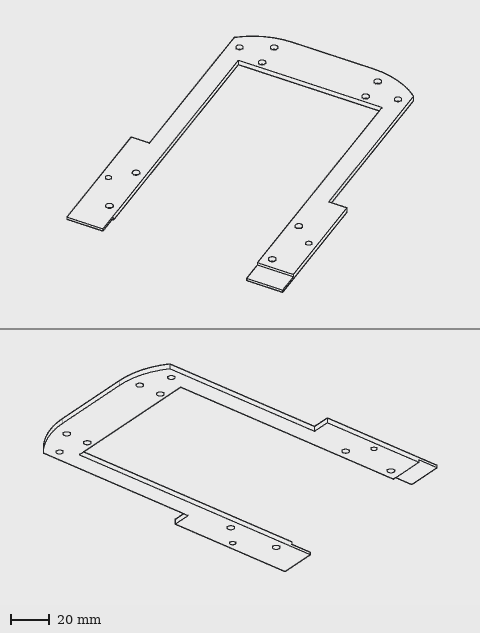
import cadquery as cq
import math

length = 178.5
foot_width = 125.0
thickness = 3.0

frame_width = 103.9
opening_width = 83.2
opening_depth = 152.8
foot_length = 72.6
corner_drop = 10.2
corner_radius = 45.0

lap_length = 12.1
lap_thickness = thickness / 2

bridge_hole_diameter = 4.0
bridge_hole_x = 30.0
bridge_hole_rows = (156.9, 170.5)
shoulder_hole_diameter = 3.7
shoulder_hole_x = 45.9
shoulder_hole_y = 162.5
foot_hole_diameter = 4.0
foot_hole_x = 47.1
foot_hole_rows = (18.2, 48.2)
edge_hole_diameter = 3.2
edge_hole_x = 58.0
edge_hole_y = 38.2


def frame_plate():
    """U-shaped plate with wide feet and arcs tangent to the closed end."""
    foot_x = foot_width / 2
    side_x = frame_width / 2
    inner_x = opening_width / 2
    corner_y = length - corner_drop
    arc_center_y = length - corner_radius
    arc_angle = math.acos((corner_radius - corner_drop) / corner_radius)
    flat_x = side_x - corner_radius * math.sin(arc_angle)
    mid_x = flat_x + corner_radius * math.sin(arc_angle / 2)
    mid_y = arc_center_y + corner_radius * math.cos(arc_angle / 2)
    return (
        cq.Workplane("XY")
        .moveTo(inner_x, 0)
        .lineTo(foot_x, 0)
        .lineTo(foot_x, foot_length)
        .lineTo(side_x, foot_length)
        .lineTo(side_x, corner_y)
        .threePointArc((mid_x, mid_y), (flat_x, length))
        .lineTo(-flat_x, length)
        .threePointArc((-mid_x, mid_y), (-side_x, corner_y))
        .lineTo(-side_x, foot_length)
        .lineTo(-foot_x, foot_length)
        .lineTo(-foot_x, 0)
        .lineTo(-inner_x, 0)
        .lineTo(-inner_x, opening_depth)
        .lineTo(inner_x, opening_depth)
        .close()
        .extrude(thickness)
    )


def lap_cutter(side, base_z):
    """Block removing half the thickness at one foot end (side is -1 or +1)."""
    return (
        cq.Workplane("XY")
        .box(foot_width / 2, lap_length, lap_thickness, centered=(True, False, False))
        .translate((side * foot_width / 4, 0, base_z))
    )


def hole_pairs(diameter, x, rows):
    """Through-hole cutters mirrored about the centreline in each row."""
    points = [(side * x, y) for y in rows for side in (-1, 1)]
    return cq.Workplane("XY").pushPoints(points).circle(diameter / 2).extrude(thickness)


result = frame_plate()

result = result.cut(lap_cutter(-1, 0))
result = result.cut(lap_cutter(1, thickness - lap_thickness))

for diameter, x, rows in (
    (bridge_hole_diameter, bridge_hole_x, bridge_hole_rows),
    (shoulder_hole_diameter, shoulder_hole_x, (shoulder_hole_y,)),
    (foot_hole_diameter, foot_hole_x, foot_hole_rows),
    (edge_hole_diameter, edge_hole_x, (edge_hole_y,)),
):
    result = result.cut(hole_pairs(diameter, x, rows))